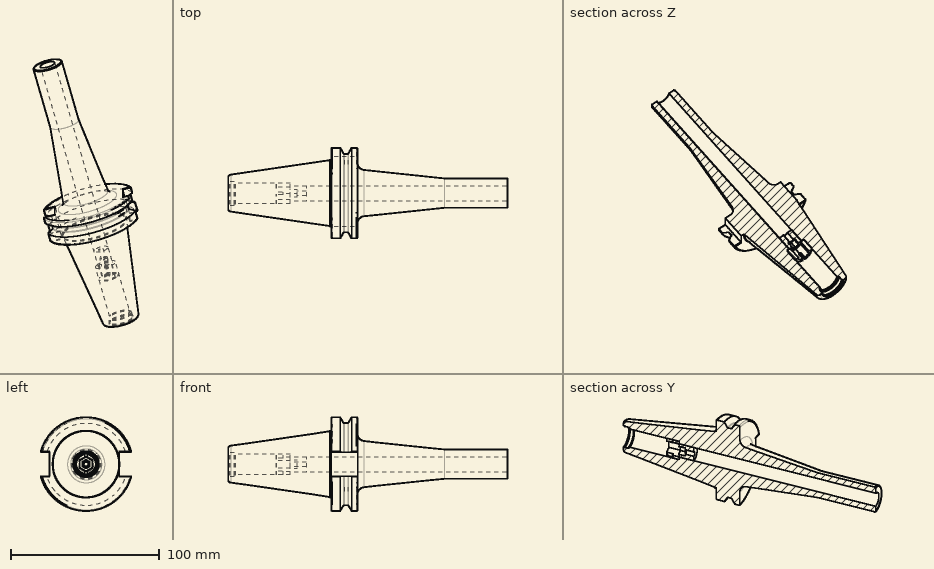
import cadquery as cq
import math


total_length = 188.2

taper_ratio = 7 / 24
gauge_x = 68.3
gauge_radius = 44.5 / 2
taper_small_radius = gauge_radius - gauge_x * taper_ratio / 2
taper_end_fillet = 2.0
collar_start_x = 68.7
collar_radius = 22.5

flange_start_x = 69.3
flange_end_x = 87.2
flange_radius = 63.3 / 2
flange_rim_fillet = 1.0
groove_center_x = 79.3
groove_floor_width = 3.0
groove_floor_radius = 27.7
groove_floor_fillet = 0.5
groove_flank_angle = 30.0

drive_slot_width = 16.2
drive_slot_chamfer = 0.43
drive_slot_floor_plus_y = 24.7
drive_slot_floor_minus_y = 22.4

nose_radius = 20.0 / 2
nose_start_x = 145.3
nose_chamfer = 0.5
neck_angle = 6.0
neck_fillet = 4.7
neck_root_radius = nose_radius + (nose_start_x - flange_end_x) * math.tan(math.radians(neck_angle))

mouth_radius = 17.5 / 2
counterbore_radius = 16.8 / 2
counterbore_end_x = 1.1
pilot_radius = 16.2 / 2
pilot_end_x = 3.8
seat_radius = 15.8 / 2
seat_end_x = 4.3
seat_cone_end_x = 4.9
screw_bore_radius = 14.0 / 2
screw_bore_end_x = 41.5
nose_bore_radius = 10.0 / 2

lock_screw_length = 9.5
lock_screw_face_radius = 13.0 / 2
lock_screw_chamfer = screw_bore_radius - lock_screw_face_radius
lock_hex_across_flats = 8.5
lock_slot_width = 1.7
lock_slot_depth = 4.7

adjusting_screw_length = 11.3
adjusting_hex_across_flats = 5.0
adjusting_hex_depth = 4.7
coolant_hole_radius = 3.0 / 2


def revolve_about_x(profile):
    """Turn a closed profile, drawn as (X, radius), into a solid around the X axis."""
    return profile.revolve(360, (0, 0, 0), (1, 0, 0))


def cylinder_along_x(start_x, length, radius):
    return cq.Workplane("YZ", origin=(start_x, 0, 0)).circle(radius).extrude(length)


def hex_prism_along_x(start_x, length, across_flats):
    """Hexagonal prism with two flats facing +Y and -Y and two corners on the Z axis."""
    corner_diameter = across_flats / math.cos(math.radians(30))
    return (
        cq.Workplane("YZ", origin=(start_x, 0, 0))
        .transformed(rotate=(0, 0, 90))
        .polygon(6, corner_diameter)
        .extrude(length)
    )


def make_taper():
    """Taper up to its gauge diameter, then a slightly larger collar next to the flange."""
    taper = revolve_about_x(
        cq.Workplane("XY")
        .moveTo(0, 0)
        .lineTo(0, taper_small_radius)
        .lineTo(gauge_x, gauge_radius)
        .lineTo(collar_start_x, collar_radius)
        .lineTo(flange_start_x, collar_radius)
        .lineTo(flange_start_x, 0)
        .close()
    )
    return taper.faces("<X").edges().fillet(taper_end_fillet)


def make_groove_cutter():
    half_floor = groove_floor_width / 2
    flank_height = flange_radius - groove_floor_radius
    half_top = half_floor + flank_height * math.tan(math.radians(groove_flank_angle))
    groove = revolve_about_x(
        cq.Workplane("XY")
        .moveTo(groove_center_x - half_floor, groove_floor_radius)
        .lineTo(groove_center_x - half_top, flange_radius)
        .lineTo(groove_center_x + half_top, flange_radius)
        .lineTo(groove_center_x + half_floor, groove_floor_radius)
        .close()
    )
    floor_edges = groove.edges(cq.selectors.RadiusNthSelector(0))
    return floor_edges.fillet(groove_floor_fillet)


def make_drive_slot_cutter(floor_distance, side):
    """Box that opens the flange outward from its floor; side is +1 for +Y and -1 for -Y."""
    depth = flange_radius - floor_distance
    center_y = side * (floor_distance + depth / 2)
    width_x = flange_end_x - flange_start_x
    return cq.Workplane("XY").box(width_x, depth, drive_slot_width).translate(
        (flange_start_x + width_x / 2, center_y, 0)
    )


def make_flange():
    flange = cylinder_along_x(flange_start_x, flange_end_x - flange_start_x, flange_radius)
    flange = flange.edges().fillet(flange_rim_fillet)
    flange = flange.cut(make_drive_slot_cutter(drive_slot_floor_plus_y, 1))
    flange = flange.cut(make_drive_slot_cutter(drive_slot_floor_minus_y, -1))
    inner_limit = max(drive_slot_floor_plus_y, drive_slot_floor_minus_y) + drive_slot_chamfer
    wall_edges = flange.faces("|Z").edges().vals()
    outer_edges = [edge for edge in wall_edges if abs(edge.Center().y) > inner_limit]
    flange = flange.newObject(outer_edges).chamfer(drive_slot_chamfer)
    return flange.cut(make_groove_cutter())


def make_neck_and_nose():
    """Neck cone with a concave fillet where it leaves the flange face, then the nose."""
    angle = math.radians(neck_angle)
    fillet_center_x = flange_end_x + neck_fillet
    fillet_center_radius = (
        neck_root_radius - neck_fillet * math.tan(angle) + neck_fillet / math.cos(angle)
    )

    def fillet_point(turn):
        return (
            fillet_center_x - neck_fillet * math.sin(turn),
            fillet_center_radius - neck_fillet * math.cos(turn),
        )

    flange_turn = math.pi / 2
    return revolve_about_x(
        cq.Workplane("XY")
        .moveTo(flange_end_x, 0)
        .lineTo(*fillet_point(flange_turn))
        .threePointArc(fillet_point((flange_turn + angle) / 2), fillet_point(angle))
        .lineTo(nose_start_x, nose_radius)
        .lineTo(total_length - nose_chamfer, nose_radius)
        .lineTo(total_length, nose_radius - nose_chamfer)
        .lineTo(total_length, 0)
        .close()
    )


def make_bore_cutter():
    return revolve_about_x(
        cq.Workplane("XY")
        .moveTo(0, 0)
        .lineTo(0, mouth_radius)
        .lineTo(mouth_radius - counterbore_radius, counterbore_radius)
        .lineTo(counterbore_end_x, counterbore_radius)
        .lineTo(counterbore_end_x, pilot_radius)
        .lineTo(pilot_end_x, pilot_radius)
        .lineTo(pilot_end_x, seat_radius)
        .lineTo(seat_end_x, seat_radius)
        .lineTo(seat_cone_end_x, screw_bore_radius)
        .lineTo(screw_bore_end_x, screw_bore_radius)
        .lineTo(screw_bore_end_x, nose_bore_radius)
        .lineTo(total_length, nose_bore_radius)
        .lineTo(total_length, 0)
        .close()
    )


def make_holder():
    holder = make_taper().union(make_flange()).union(make_neck_and_nose())
    return holder.cut(make_bore_cutter())


def make_lock_screw():
    """Headless screw with a hexagonal hole right through and a slot along Z across its face."""
    start_x = screw_bore_end_x - lock_screw_length
    screw = cylinder_along_x(start_x, lock_screw_length, screw_bore_radius)
    screw = screw.faces("<X").edges().chamfer(lock_screw_chamfer)
    screw = screw.cut(hex_prism_along_x(start_x, lock_screw_length, lock_hex_across_flats))
    slot = cq.Workplane("XY").box(lock_slot_depth, lock_slot_width, 2 * screw_bore_radius)
    return screw.cut(slot.translate((start_x + lock_slot_depth / 2, 0, 0)))


def make_adjusting_screw():
    """Headless screw with a hexagonal socket and a coolant hole along its axis."""
    start_x = screw_bore_end_x
    screw = cylinder_along_x(start_x, adjusting_screw_length, nose_bore_radius)
    screw = screw.cut(hex_prism_along_x(start_x, adjusting_hex_depth, adjusting_hex_across_flats))
    return screw.cut(cylinder_along_x(start_x, adjusting_screw_length, coolant_hole_radius))


holder = make_holder()
lock_screw = make_lock_screw()
adjusting_screw = make_adjusting_screw()

result = cq.Compound.makeCompound([holder.val(), lock_screw.val(), adjusting_screw.val()])